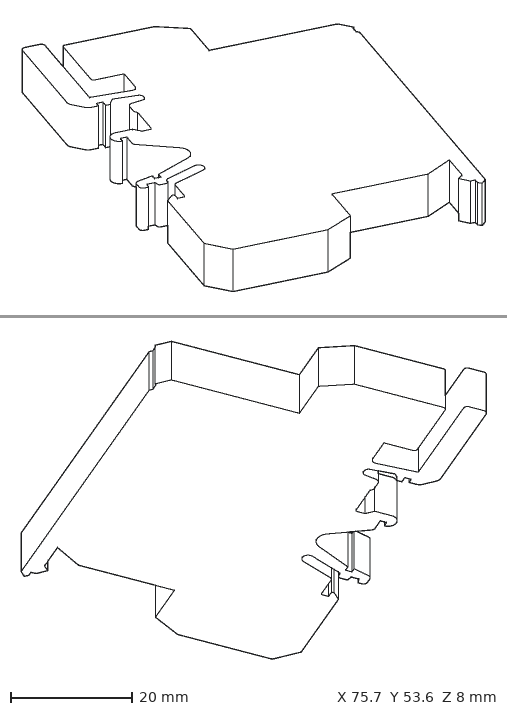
import cadquery as cq
import math

LENGTH = 75.7
HEIGHT = 53.6
THICKNESS = 8.0

BODY_LEFT = 1.8
TOWER_LEFT = 12.65
TOWER_RIGHT = 64.9
SHOULDER_Y = 28.4
SHOULDER_WIDTH = 2.9
SHOULDER_DROP = 5.2
LEFT_BASE_Y = 6.65
RIGHT_BASE_Y = 2.6
BASE_CHAMFER = 3.6
BASE_RADIUS = 0.5

LEVER_TOP = 4.1
LEVER_TOP_RADIUS = 0.7
LEVER_BOTTOM_RADIUS = 0.8
LEVER_HEEL_RADIUS = 1.5
LEVER_HEEL_X = 20.3
LEVER_HEEL_HEIGHT = 2.5
LEVER_RIGHT = 22.8
STEM_LEFT = 19.6
POCKET_LEFT = 14.5
POCKET_TOP = 12.4

SEAT_Y = 9.5
PAD_Y = 9.0
FOOT_NOTCH_TOP = 4.6
FOOT_NOTCH_BOTTOM = 3.5
HOOK_LEFT = 32.2
HOOK_RIGHT = 35.2
HOOK_BOTTOM = 2.0
ROUND_END_SHARE = 0.99
HOOK_RADIUS = ROUND_END_SHARE * (HOOK_RIGHT - HOOK_LEFT) / 2
GAP_APEX = (42.9, 14.6)
GAP_RADIUS = 2.1

SLOT_CENTER = (48.4, 11.5)
SLOT_WIDTH = 2.05
SLOT_RADIUS = SLOT_WIDTH / 2
SLOT_SLOPE = 2.5
SPRING_RIGHT = 51.1
SPRING_SHOULDER_Y = 5.45
LEDGE_Y = 5.75
LEDGE_RIGHT = 56.4
LIP_LEFT = 55.1
LIP_TOP = 4.4

LATCH_UNDERSIDE = 50.65
LATCH_NECK_Y = 52.0
LATCH_NECK_X = 69.7


def slot_corner(side):
    """Outer corner where one side of the slot would meet its flat end (-1 left, +1 right)."""
    angle = math.atan(SLOT_SLOPE)
    along = (-math.cos(angle), math.sin(angle))
    across = (math.sin(angle), math.cos(angle))
    return tuple(
        SLOT_CENTER[i] + SLOT_RADIUS * (along[i] + side * across[i]) for i in range(2)
    )


def on_slot_side(side, y):
    """Point at height y on one side of the sloping slot."""
    corner = slot_corner(side)
    return (corner[0] + (corner[1] - y) / SLOT_SLOPE, y)


def rounded_outline(corners):
    """Closed wire through (x, y, radius) corners, each rounded by a tangent arc."""
    path = None
    for i, (x, y, radius) in enumerate(corners):
        here = cq.Vector(x, y)
        before = (cq.Vector(*corners[i - 1][:2]) - here).normalized()
        after = (cq.Vector(*corners[(i + 1) % len(corners)][:2]) - here).normalized()
        half_angle = before.getAngle(after) / 2
        setback = radius / math.tan(half_angle)
        start = here + before * setback
        path = path.lineTo(start.x, start.y) if path else cq.Workplane("XY").moveTo(start.x, start.y)
        if radius > 0:
            bisector = (before + after).normalized()
            middle = here + bisector * (radius / math.sin(half_angle) - radius)
            end = here + after * setback
            path = path.threePointArc((middle.x, middle.y), (end.x, end.y))
    return path.close()


lever = [
    (LEVER_RIGHT, LEVER_HEEL_HEIGHT, LEVER_HEEL_RADIUS),
    (LEVER_HEEL_X, 0, LEVER_HEEL_RADIUS),
    (0, 0, LEVER_BOTTOM_RADIUS),
    (0, LEVER_TOP, LEVER_TOP_RADIUS),
    (STEM_LEFT, LEVER_TOP, 0),
    (20.2, POCKET_TOP, 0.9),
    (POCKET_LEFT, POCKET_TOP, 0),
]

body_left = [
    (POCKET_LEFT, LEFT_BASE_Y, BASE_RADIUS),
    (BODY_LEFT, LEFT_BASE_Y, BASE_RADIUS),
    (BODY_LEFT, SHOULDER_Y - SHOULDER_DROP, 0),
    (BODY_LEFT + SHOULDER_WIDTH, SHOULDER_Y, 0),
    (TOWER_LEFT, SHOULDER_Y, 0),
]

tower_top = [
    (TOWER_LEFT, 51.3, 0),
    (14.7, 53.4, 0),
    (14.8, 53.15, 0),
    (16.2, 53.15, 0),
    (16.65, HEIGHT, 0),
]

cover_latch = [
    (70.2, HEIGHT, 0),
    (71.15, 52.6, 0),
    (70.6, LATCH_NECK_Y, 0),
    (LATCH_NECK_X, LATCH_NECK_Y, 0),
    (LATCH_NECK_X, 51.1, 0),
    (68.2, 49.65, 0),
    (67.3, LATCH_UNDERSIDE, 0),
    (61.85, LATCH_UNDERSIDE, 0),
    (TOWER_RIGHT, 45.6, 0),
]

body_right = [
    (TOWER_RIGHT, SHOULDER_Y, 0),
    (LENGTH - SHOULDER_WIDTH, SHOULDER_Y, 0),
    (LENGTH, SHOULDER_Y - SHOULDER_DROP, 0),
    (LENGTH, RIGHT_BASE_Y + BASE_CHAMFER, 0),
    (LENGTH - BASE_CHAMFER, RIGHT_BASE_Y, 0),
    (56.5, RIGHT_BASE_Y, 0),
    (LIP_LEFT, 3.9, 0),
    (LIP_LEFT, LIP_TOP, 0),
    (LEDGE_RIGHT, LIP_TOP, 0),
    (LEDGE_RIGHT, LEDGE_Y, 0.3),
]

slot_end_radius = SLOT_RADIUS * ROUND_END_SHARE
slot = [
    (*on_slot_side(1, LEDGE_Y), 0.6),
    (*slot_corner(1), slot_end_radius),
    (*slot_corner(-1), slot_end_radius),
    (*on_slot_side(-1, SPRING_SHOULDER_Y), 0.2),
]

spring_foot = [
    (50.0, 5.1, 0),
    (SPRING_RIGHT, 5.1, 0.6),
    (SPRING_RIGHT, 3.25, 0.3),
    (50.1, 3.0, 0),
    (50.1, 1.6, 0),
    (SPRING_RIGHT, 1.45, 0.2),
    (SPRING_RIGHT, 0, 0.7),
    (48.75, 0, 0.8),
    (47.85, FOOT_NOTCH_BOTTOM, 0),
    (48.75, FOOT_NOTCH_BOTTOM, 0),
    (48.75, FOOT_NOTCH_TOP, 0),
    (47.8, FOOT_NOTCH_TOP, 0),
]

gap_and_hook_foot = [
    (*GAP_APEX, GAP_RADIUS),
    (36.9, FOOT_NOTCH_TOP, 0.75),
    (34.2, FOOT_NOTCH_TOP, 0),
    (34.2, FOOT_NOTCH_BOTTOM, 0),
    (HOOK_RIGHT, FOOT_NOTCH_BOTTOM, 0),
    (HOOK_RIGHT, HOOK_BOTTOM, HOOK_RADIUS),
    (HOOK_LEFT, HOOK_BOTTOM, HOOK_RADIUS),
    (HOOK_LEFT, 6.5, 0),
    (33.4, 7.7, 0),
    (33.4, SEAT_Y, 0.4),
]

rail_seat = [
    (27.3, SEAT_Y, 0),
    (26.8, PAD_Y, 0.3),
    (24.2, PAD_Y, 0.9),
    (23.7, POCKET_TOP, 0.75),
    (22.1, POCKET_TOP, 0.75),
]

lever_catch = [
    (21.6, 7.35, 0.3),
    (22.5, 6.65, 0),
    (23.1, 6.4, 0.4),
    (23.1, 5.5, 0),
    (21.9, 5.5, 0),
    (21.9, 4.4, 0),
    (LEVER_RIGHT, 4.4, 0),
]

outline = (
    lever + body_left + tower_top + cover_latch + body_right
    + slot + spring_foot + gap_and_hook_foot + rail_seat + lever_catch
)

result = rounded_outline(outline).extrude(THICKNESS)